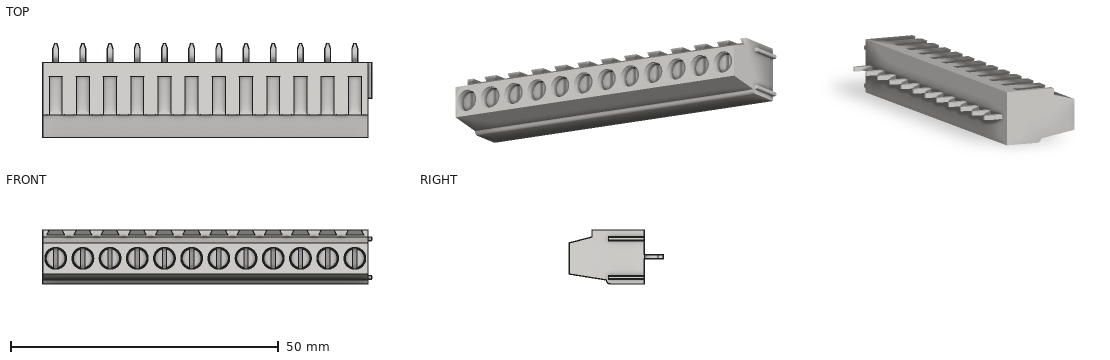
import cadquery as cq


pole_count = 12
housing_length = 60.8
housing_depth = 14.0
housing_height = 10.1
end_margin = 2.45
pole_pitch = (housing_length - 2 * end_margin) / (pole_count - 1)

deck_front = 4.25
deck_step = 1.3
face_bottom = 1.85
face_top = 7.7
foot_front = 6.95
foot_radius = 0.75

groove_top_width = 2.4
groove_floor_width = 3.3
groove_depth = 0.9
groove_back_wall = 2.6

screw_height = 4.8
entry_radius = 2.0
entry_depth = 0.75
screw_bore_radius = 1.95
screw_bore_depth = 1.65
screw_head_chamfer = 0.2
screw_slot_width = 0.8
screw_slot_depth = 0.75

pin_length = 3.55
pin_width = 1.1
pin_thickness = 0.8
pin_height = 5.1
pin_tip_length = 1.0
pin_tip_width = 0.4

rail_projection = 61.5 - housing_length
rail_length = 6.7
rail_root = 0.8
rail_tip = 0.7
rail_chamfer = 0.1
rail_heights = (1.2, 8.4)


def pole_x(index):
    return end_margin + index * pole_pitch


def make_housing():
    profile = (
        cq.Workplane("YZ")
        .moveTo(housing_depth, 0)
        .lineTo(housing_depth, housing_height)
        .lineTo(deck_front, housing_height)
        .lineTo(deck_front, housing_height - deck_step)
        .lineTo(0, face_top)
        .lineTo(0, face_bottom)
        .lineTo(foot_front, foot_radius)
        .radiusArc((foot_front + foot_radius, 0), -foot_radius)
        .close()
    )
    return profile.extrude(housing_length)


def make_groove(x):
    """Dovetail cutter, wider at its floor, open at the front of the deck."""
    floor = housing_height - groove_depth
    half_top = groove_top_width / 2
    half_floor = groove_floor_width / 2
    return (
        cq.Workplane("XZ", origin=(x, housing_depth - groove_back_wall, 0))
        .polyline([
            (-half_floor, floor),
            (half_floor, floor),
            (half_top, housing_height),
            (-half_top, housing_height),
        ])
        .close()
        .extrude(housing_depth - groove_back_wall)
    )


def make_screw_recess(x):
    """Cutter that leaves a chamfered, slotted screw head at the bottom of the bore."""
    bore_end = screw_bore_depth + screw_head_chamfer
    bore = (
        cq.Workplane("XZ", origin=(x, 0, screw_height))
        .circle(screw_bore_radius)
        .extrude(-bore_end)
    )
    entry = (
        cq.Workplane("XZ", origin=(x, 0, screw_height))
        .circle(entry_radius)
        .extrude(-entry_depth)
    )
    head = (
        cq.Workplane("XZ", origin=(x, screw_bore_depth, screw_height))
        .circle(screw_bore_radius)
        .extrude(-2 * screw_head_chamfer)
        .faces("<Y")
        .chamfer(screw_head_chamfer)
    )
    slot = (
        cq.Workplane("XZ", origin=(x, 0, screw_height))
        .circle(screw_bore_radius)
        .extrude(-(screw_bore_depth + screw_slot_depth))
        .intersect(
            cq.Workplane("XY", origin=(x, 0, screw_height))
            .box(screw_slot_width, housing_depth, 2 * screw_bore_radius)
        )
    )
    return bore.cut(head).union(entry).union(slot)


def make_pin(x):
    shoulder = housing_depth + pin_length - pin_tip_length
    tip = housing_depth + pin_length
    return (
        cq.Workplane("XY", origin=(x, 0, pin_height - pin_thickness / 2))
        .polyline([
            (-pin_width / 2, housing_depth),
            (pin_width / 2, housing_depth),
            (pin_width / 2, shoulder),
            (pin_tip_width / 2, tip),
            (-pin_tip_width / 2, tip),
            (-pin_width / 2, shoulder),
        ])
        .close()
        .extrude(pin_thickness)
    )


def make_rail(height):
    """Tapered rail with a chamfered tip, running forward from the housing back."""
    return (
        cq.Workplane("XZ", origin=(housing_length, housing_depth, height))
        .polyline([
            (0, -rail_root / 2),
            (rail_projection, -rail_tip / 2),
            (rail_projection, rail_tip / 2),
            (0, rail_root / 2),
        ])
        .close()
        .extrude(rail_length)
        .faces(">X")
        .edges("|Y")
        .chamfer(rail_chamfer)
    )


result = make_housing()

for pole in range(pole_count):
    center = pole_x(pole)
    result = result.cut(make_groove(center))
    result = result.cut(make_screw_recess(center))
    result = result.union(make_pin(center))

for rail_height in rail_heights:
    result = result.union(make_rail(rail_height))